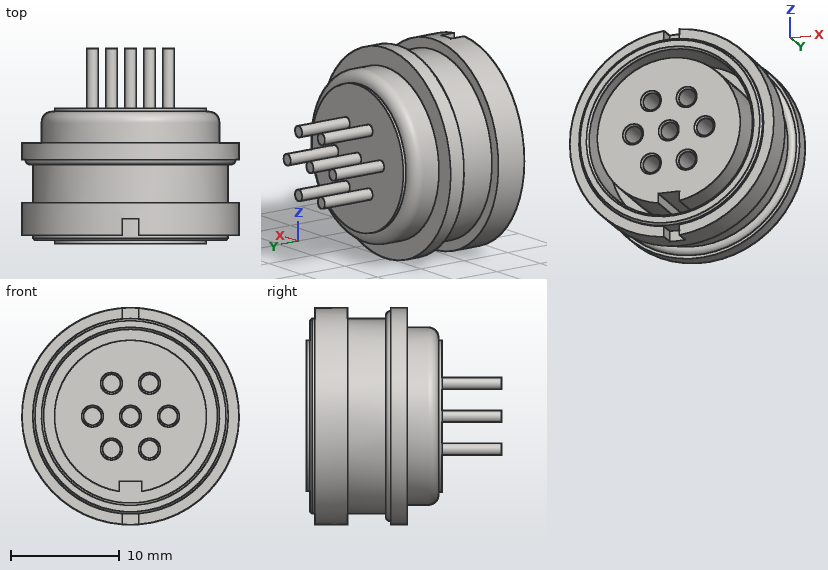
import cadquery as cq
import math

part_axis = cq.Vector(0, 1, 0)

collar_radius = 10.0
shell_radius = 9.0
bore_radius = 8.0
core_radius = 7.0
rear_body_radius = 8.2
gasket_outer_radius = 9.7

shell_front = 0.35
collar_front = 0.8
collar_rear = 3.8
gasket_front = 7.3
flange_front = 7.75
flange_rear = 9.3
body_rear = 12.2
core_rear = 12.5
pin_end = 18.0

lip_chamfer = 0.2
gasket_section_radius = 0.5
rear_round = 1.0

recess_floor = 6.0
keyway_width = 2.05
keyway_top_z = -6.0

slot_width = 1.52
slot_depth = 1.52

outer_contact_count = 6
contact_circle_radius = 3.5
socket_diameter = 1.65
socket_mouth_diameter = 2.0
socket_depth = 6.0
pin_diameter = 1.1


def cylinder(radius, start, end, x=0.0, z=0.0):
    """Cylinder along +Y from start to end, centred on (x, z)."""
    base = cq.Vector(x, start, z)
    return cq.Workplane(cq.Solid.makeCylinder(radius, end - start, base, part_axis))


def taper(front_radius, rear_radius, start, x=0.0, z=0.0):
    """45 degree cone narrowing along +Y from start, centred on (x, z)."""
    base = cq.Vector(x, start, z)
    length = front_radius - rear_radius
    return cq.Workplane(cq.Solid.makeCone(front_radius, rear_radius, length, base, part_axis))


def contact_positions():
    """(x, z) centres of all the contacts."""
    step = 2 * math.pi / outer_contact_count
    circle = [
        (contact_circle_radius * math.cos(i * step), contact_circle_radius * math.sin(i * step))
        for i in range(outer_contact_count)
    ]
    return [(0.0, 0.0)] + circle


def make_gasket():
    """Round-section sealing ring seated against the front of the flange."""
    ring = cq.Solid.makeTorus(
        gasket_outer_radius - gasket_section_radius,
        gasket_section_radius,
        cq.Vector(0, gasket_front + gasket_section_radius, 0),
        part_axis,
    )
    return cq.Workplane(ring)


def make_shell():
    """Stepped housing as a solid body, before boring."""
    barrel = cylinder(shell_radius, shell_front, flange_rear).faces("<Y").chamfer(lip_chamfer)
    collar = cylinder(collar_radius, collar_front, collar_rear)
    flange = cylinder(collar_radius, flange_front, flange_rear)
    rear_body = cylinder(rear_body_radius, flange_front, body_rear).faces(">Y").edges().fillet(rear_round)
    return barrel.union(collar).union(make_gasket()).union(flange).union(rear_body)


def make_bore():
    """Cutter for the shell bore, flared at the lip."""
    flare = taper(bore_radius + lip_chamfer, bore_radius, shell_front)
    return cylinder(bore_radius, shell_front, recess_floor).union(flare)


def make_collar_slots():
    """Two blocks outside the shell radius, at the top and bottom of the collar."""
    bar_height = 2 * collar_radius + slot_depth
    bar = cq.Workplane("XY").box(slot_width, slot_depth, bar_height, centered=(True, False, True))
    return bar.translate((0, collar_front, 0)).cut(cylinder(shell_radius, collar_front, collar_rear))


def make_core():
    """Insulating core with a keyway along its underside, as deep as the recess."""
    keyway = (
        cq.Workplane("XY")
        .box(keyway_width, recess_floor, core_radius, centered=(True, False, False))
        .translate((0, 0, keyway_top_z - core_radius))
    )
    return cylinder(core_radius, 0, core_rear).cut(keyway)


def make_socket(x, z):
    """Cutter for a blind contact hole with a countersunk mouth."""
    mouth = taper(socket_mouth_diameter / 2, socket_diameter / 2, 0, x, z)
    return cylinder(socket_diameter / 2, 0, socket_depth, x, z).union(mouth)


connector = make_shell().cut(make_collar_slots()).cut(make_bore()).union(make_core())
for x, z in contact_positions():
    connector = connector.cut(make_socket(x, z))
    connector = connector.union(cylinder(pin_diameter / 2, body_rear, pin_end, x, z))

result = connector.translate((0, -pin_end / 2, 0))